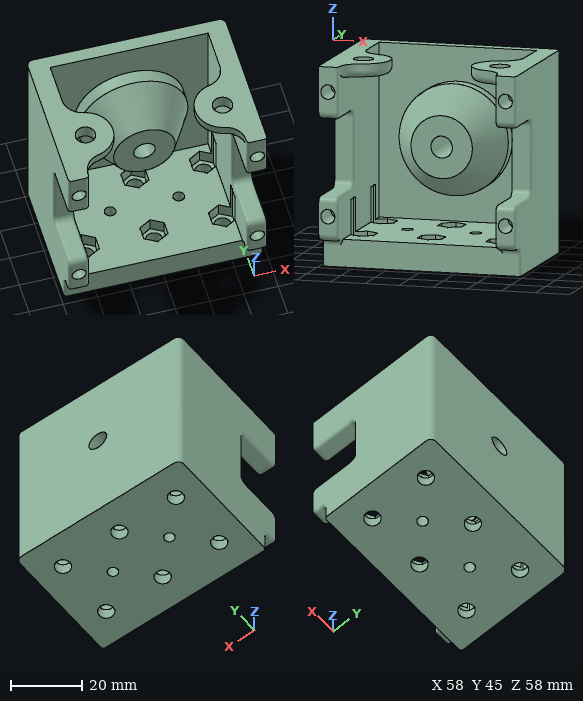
import cadquery as cq
import math

width = 58.0
depth = 45.0
height = 58.0

side_thickness = 6.0
back_thickness = 4.0
floor_thickness = 8.0
floor_depth = 40.0
back_corner_radius = 2.0
edge_radius = 1.0
inner_half_width = width / 2 - side_thickness

notch_depth = 29.0
notch_bottom = 21.0
notch_top = 43.0
profile_corner_radius = 2.0

tip_hole_diameter = 4.1
tip_hole_depth = 10.0
tip_hole_heights = (15.2, 50.8)

boss_height = 32.0
boss_base_radius = 16.0
boss_tip_radius = 9.0
boss_collar_length = 4.0
boss_length = 16.0
boss_bore_diameter = 6.25

grid_x = 20.0
rear_row = 10.0
middle_row = 20.0
front_row = 30.0
screw_hole_diameter = 4.8
pilot_hole_diameter = 3.2
nut_flats = 7.0
nut_seat_height = 4.0
nut_slot_top = 18.0

ear_radius = 8.0
ear_blend_radius = 6.0
ear_thickness = 4.0
ear_edge_radius = 2.0
ear_hole_diameter = 5.7


def make_side_wall():
    """Left wall: a notched profile with every front and notch edge rounded."""
    profile = [
        (0, 0),
        (-floor_depth, 0),
        (-floor_depth, floor_thickness),
        (-depth, floor_thickness),
        (-depth, notch_bottom),
        (-notch_depth, notch_bottom),
        (-notch_depth, notch_top),
        (-depth, notch_top),
        (-depth, height),
        (0, height),
    ]
    wall = cq.Workplane("YZ").polyline(profile).close().extrude(side_thickness)

    margin = profile_corner_radius
    inner_corners = cq.selectors.BoxSelector(
        (0, -depth - margin, margin), (side_thickness, -margin, height - margin)
    )
    wall = wall.edges("|X").edges(inner_corners).fillet(profile_corner_radius)

    rims = wall.faces("<X or >X").edges("not(<Z or >Z or >Y)")
    return rims.fillet(edge_radius).translate((-width / 2, 0, 0))


def make_ear():
    """Left ear: a round lug blended into the wall by two tangent arcs, rounded underneath."""
    blend_x = -inner_half_width + ear_blend_radius
    centre_distance = ear_radius + ear_blend_radius
    blend_rise = math.sqrt(centre_distance**2 - (blend_x + grid_x) ** 2)
    tangent_share = ear_radius / centre_distance
    tangent_x = -grid_x + tangent_share * (blend_x + grid_x)
    tangent_rise = tangent_share * blend_rise

    half_angle = math.atan2(blend_rise, blend_x + grid_x) / 2
    middle_x = blend_x - ear_blend_radius * math.cos(half_angle)
    middle_rise = blend_rise - ear_blend_radius * math.sin(half_angle)

    root_x = -width / 2 + side_thickness / 2
    ear = (
        cq.Workplane("XY", origin=(0, -front_row, height - ear_thickness))
        .moveTo(root_x, blend_rise)
        .lineTo(-inner_half_width, blend_rise)
        .threePointArc((middle_x, middle_rise), (tangent_x, tangent_rise))
        .threePointArc((ear_radius - grid_x, 0), (tangent_x, -tangent_rise))
        .threePointArc((middle_x, -middle_rise), (-inner_half_width, -blend_rise))
        .lineTo(root_x, -blend_rise)
        .close()
        .extrude(ear_thickness)
    )
    return ear.faces("<Z").edges("%CIRCLE").fillet(ear_edge_radius)


def make_boss():
    """Collar and cone standing on the inside of the back wall."""
    cone_start = back_thickness + boss_collar_length
    tip = back_thickness + boss_length
    half_section = [
        (0, 0),
        (boss_base_radius, 0),
        (boss_base_radius, -cone_start),
        (boss_tip_radius, -tip),
        (0, -tip),
    ]
    boss = cq.Workplane("XY").polyline(half_section).close().revolve(360, (0, 0), (0, 1))
    return boss.translate((0, 0, boss_height))


def make_box(x_size, y_size, z_size):
    """Box centred on X that starts at the back face and the base."""
    box = cq.Workplane("XY").box(x_size, y_size, z_size, centered=(True, False, False))
    return box.translate((0, -y_size, 0))


def vertical_holes(points, diameter, bottom, top):
    """Round cutters along Z at the given points, from bottom to top."""
    start = cq.Workplane("XY", origin=(0, 0, bottom))
    return start.pushPoints(points).circle(diameter / 2).extrude(top - bottom)


web_width = width - side_thickness
left_side = make_side_wall().union(make_ear())
body = make_box(web_width, back_thickness, height)
body = body.union(make_box(web_width, floor_depth, floor_thickness))
body = body.union(left_side).union(left_side.mirror("YZ"))
body = body.edges("|Z and >Y").fillet(back_corner_radius)

screw_points = [
    (-grid_x, -rear_row),
    (0, -rear_row),
    (grid_x, -rear_row),
    (-grid_x, -front_row),
    (0, -front_row),
    (grid_x, -front_row),
]
body = body.cut(vertical_holes(screw_points, screw_hole_diameter, 0, floor_thickness))
nut_corner_diameter = nut_flats / math.cos(math.pi / 6)
nut_slot = (
    cq.Workplane("XY")
    .polygon(6, nut_corner_diameter)
    .extrude(nut_slot_top - nut_seat_height)
    .rotate((0, 0, 0), (0, 0, 1), 30)
)
for x, y in screw_points:
    body = body.cut(nut_slot.translate((x, y, nut_seat_height)))

body = body.union(make_boss())
bore = cq.Workplane("XZ", origin=(0, 0, boss_height)).circle(boss_bore_diameter / 2).extrude(depth)
body = body.cut(bore)

pilot_points = [(-grid_x / 2, -middle_row), (grid_x / 2, -middle_row)]
body = body.cut(vertical_holes(pilot_points, pilot_hole_diameter, 0, floor_thickness))
ear_points = [(-grid_x, -front_row), (grid_x, -front_row)]
body = body.cut(vertical_holes(ear_points, ear_hole_diameter, height - ear_thickness, height))

tip_x = (width - side_thickness) / 2
tip_points = [(x, z) for x in (-tip_x, tip_x) for z in tip_hole_heights]
tip_holes = (
    cq.Workplane("XZ", origin=(0, -depth, 0))
    .pushPoints(tip_points)
    .circle(tip_hole_diameter / 2)
    .extrude(-tip_hole_depth)
)
result = body.cut(tip_holes)